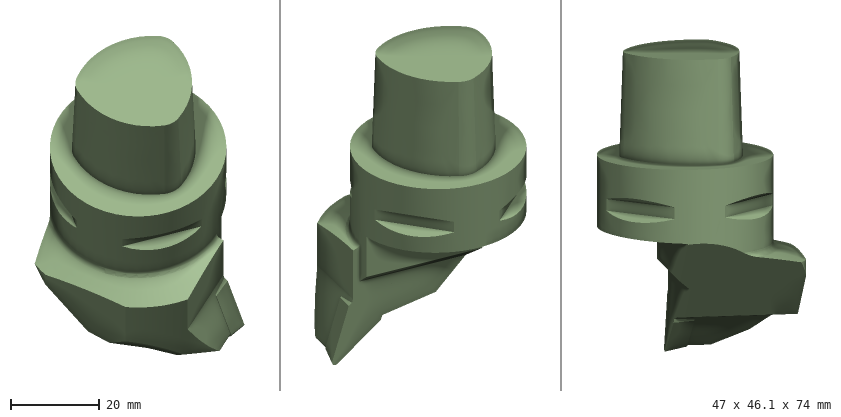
import cadquery as cq
import math

COLLAR_RADIUS = 20.0

SHANK_HEIGHT = 24.0
SHANK_TAPER = 0.8
LOBE_RADIUS = 5.6
LOBE_CENTRE_DISTANCE = 9.4
FLANK_INNER_RADIUS = 13.0

GROOVE_COUNT = 4
GROOVE_FIRST_ANGLE = 45
GROOVE_DEPTH_Z = 10.0
GROOVE_FLOOR_DISTANCE = 17.6
GROOVE_FLOOR_HEIGHT = 2.7
GROOVE_FLARE_ANGLE = 30

HEAD_RADIUS = 28.0
HEAD_RIM_DEPTH = 23.2
SHOULDER_ANGLE = 15
SHOULDER_FILLET = 1.3
HEAD_BACK_Y = -26.05
HEAD_SIDE_X = 21.7
SLOPE_OFFSET = 37.0
HEEL_X = 0.6
HEEL_ANGLE = 10.6

FRONT_STEP_Y = 2.9
STEP_TOP_DEPTH = 27.45
STEP_BOTTOM_DEPTH = 30.0
COLLAR_UNDERSIDE_DEPTH = 17.0
COLLAR_UNDERSIDE_TILT = 2

INSERT_EDGE = 16.6
INSERT_POINT_ANGLE = 35.0
INSERT_THICKNESS = 4.9
INSERT_RELIEF_ANGLE = 5
INSERT_TIP_RADIUS = 0.8
TIP_REACH_X = 27.0
OVERALL_HEIGHT = 74.0
NOSE_DIRECTION = 55.0

NOSE_INSET = 0.6
NOSE_RADIUS = 0.75
RELIEF_START = 35.1
RELIEF_BEND = (47.3, -18.3)
RELIEF_END = (54.2, -10.15)

CLEARANCE = 74.0

HALF_POINT = math.radians(INSERT_POINT_ANGLE / 2)
NOSE_COS = math.cos(math.radians(NOSE_DIRECTION))
NOSE_SIN = math.sin(math.radians(NOSE_DIRECTION))
TIP_Z = SHANK_HEIGHT - OVERALL_HEIGHT


def xz_plane(y):
    """Sketch plane with local axes X and Z, extruding toward -Y."""
    return cq.Workplane("XZ", origin=(0, y, 0))


def polar(radius, angle):
    return (radius * math.cos(math.radians(angle)), radius * math.sin(math.radians(angle)))


def step_along(point, angle, length):
    dx, dy = polar(length, angle)
    return (point[0] + dx, point[1] + dy)


def shank_outline(sketch, offset):
    """Three lobe arcs joined by three tangent flank arcs, moved inward by offset."""
    lobe = LOBE_CENTRE_DISTANCE
    reach = FLANK_INNER_RADIUS - LOBE_RADIUS
    flank_centre = (lobe**2 - reach**2) / (2 * reach - lobe)
    flank_radius = FLANK_INNER_RADIUS + flank_centre
    half_flank = math.asin(lobe * math.sin(math.radians(60)) / (flank_radius - LOBE_RADIUS))
    half_lobe = 60 - math.degrees(half_flank)
    lobe_radius = LOBE_RADIUS - offset

    for index in range(3):
        angle = 90 + 120 * index
        centre = polar(lobe, angle)
        start = step_along(centre, angle - half_lobe, lobe_radius)
        end = step_along(centre, angle + half_lobe, lobe_radius)
        if index == 0:
            first = start
            sketch = sketch.moveTo(*start)
        sketch = sketch.threePointArc(polar(lobe + lobe_radius, angle), end)
        next_start = step_along(polar(lobe, angle + 120), angle + 120 - half_lobe, lobe_radius)
        target = first if index == 2 else next_start
        sketch = sketch.threePointArc(polar(FLANK_INNER_RADIUS - offset, angle + 60), target)
    return sketch.close()


def make_shank():
    base = shank_outline(cq.Workplane("XY"), 0)
    return shank_outline(base.workplane(offset=SHANK_HEIGHT), SHANK_TAPER).loft(ruled=True, combine=True)


def make_groove(angle):
    half_floor = GROOVE_FLOOR_HEIGHT / 2
    outer = COLLAR_RADIUS + 0.75
    half_mouth = half_floor + (outer - GROOVE_FLOOR_DISTANCE) * math.tan(math.radians(GROOVE_FLARE_ANGLE))
    profile = [
        (GROOVE_FLOOR_DISTANCE, -half_floor - GROOVE_DEPTH_Z),
        (outer, -half_mouth - GROOVE_DEPTH_Z),
        (outer, half_mouth - GROOVE_DEPTH_Z),
        (GROOVE_FLOOR_DISTANCE, half_floor - GROOVE_DEPTH_Z),
    ]
    groove = cq.Workplane("XZ").polyline(profile).close().extrude(COLLAR_RADIUS, both=True)
    return groove.rotate((0, 0, 0), (0, 0, 1), angle)


def make_turned_blank():
    """Collar, fillet, conical shoulder and head cylinder as one revolved shape."""
    slope = math.radians(SHOULDER_ANGLE)
    corner_z = -HEAD_RIM_DEPTH + (HEAD_RADIUS - COLLAR_RADIUS) * math.tan(slope)
    tangent = SHOULDER_FILLET * math.tan(math.radians(90 - SHOULDER_ANGLE) / 2)
    centre = (COLLAR_RADIUS + SHOULDER_FILLET, corner_z + tangent)
    fillet_end = (COLLAR_RADIUS + tangent * math.cos(slope), corner_z - tangent * math.sin(slope))
    fillet_middle = step_along(centre, 180 + (90 - SHOULDER_ANGLE) / 2, SHOULDER_FILLET)
    return (
        cq.Workplane("XZ")
        .lineTo(COLLAR_RADIUS, 0)
        .lineTo(COLLAR_RADIUS, corner_z + tangent)
        .threePointArc(fillet_middle, fillet_end)
        .lineTo(HEAD_RADIUS, -HEAD_RIM_DEPTH)
        .lineTo(HEAD_RADIUS, TIP_Z)
        .lineTo(0, TIP_Z)
        .close()
        .revolve(360, (0, 0, 0), (0, 1, 0))
    )


def nose_apex(inset):
    """Sharp corner where the two cutting edges, moved inward by inset, would meet."""
    to_apex = INSERT_TIP_RADIUS / math.sin(HALF_POINT)
    shift = to_apex - inset / math.sin(HALF_POINT)
    centre_x = TIP_REACH_X - INSERT_TIP_RADIUS
    centre_z = TIP_Z + INSERT_TIP_RADIUS
    return (centre_x + shift * NOSE_COS, centre_z - shift * NOSE_SIN)


def head_outline():
    heel = (HEEL_X, -SLOPE_OFFSET - HEEL_X)
    apex_x, apex_z = nose_apex(NOSE_INSET)
    lower_slope = -math.tan(math.radians(NOSE_DIRECTION) - HALF_POINT)
    upper_slope = -math.tan(math.radians(NOSE_DIRECTION) + HALF_POINT)
    heel_slope = -math.tan(math.radians(HEEL_ANGLE))
    throat_x = (apex_z - lower_slope * apex_x - heel[1] + heel_slope * heel[0]) / (heel_slope - lower_slope)
    throat_z = heel[1] + heel_slope * (throat_x - heel[0])
    nose_top_z = apex_z + upper_slope * (HEAD_SIDE_X - apex_x)
    return [
        (-HEAD_RADIUS, 0),
        (-HEAD_RADIUS, HEAD_RADIUS - SLOPE_OFFSET),
        heel,
        (throat_x, throat_z),
        (apex_x, apex_z),
        (HEAD_SIDE_X, nose_top_z),
        (HEAD_SIDE_X, 0),
    ]


def make_head_prism():
    prism = xz_plane(HEAD_RADIUS).polyline(head_outline()).close().extrude(HEAD_RADIUS - HEAD_BACK_Y)
    apex_x, apex_z = nose_apex(NOSE_INSET)
    nose_edge = cq.selectors.NearestToPointSelector((apex_x, (HEAD_RADIUS + HEAD_BACK_Y) / 2, apex_z))
    return prism.edges("|Y").edges(nose_edge).fillet(NOSE_RADIUS)


def make_front_clearance():
    """Space under the collar and in front of the cutting face."""
    drop = math.tan(math.radians(COLLAR_UNDERSIDE_TILT))
    underside_z = -COLLAR_UNDERSIDE_DEPTH + drop * (CLEARANCE - FRONT_STEP_Y)
    profile = [
        (CLEARANCE, underside_z),
        (FRONT_STEP_Y, -COLLAR_UNDERSIDE_DEPTH),
        (FRONT_STEP_Y, -STEP_TOP_DEPTH),
        (0, -STEP_BOTTOM_DEPTH),
        (0, -CLEARANCE),
        (CLEARANCE, -CLEARANCE),
    ]
    return cq.Workplane("YZ").polyline(profile).close().extrude(CLEARANCE, both=True)


def make_shoulder_clearance():
    """Removes the shoulder in front of Y = 0, leaving the collar's own radius."""
    underside = cq.Workplane("XY", origin=(0, 0, -COLLAR_UNDERSIDE_DEPTH))
    block = underside.center(0, CLEARANCE / 2).rect(2 * CLEARANCE, CLEARANCE).extrude(-CLEARANCE)
    return block.cut(underside.circle(COLLAR_RADIUS).extrude(-CLEARANCE))


def make_nose_relief():
    """Two sloping faces behind the nose, stepping down along the nose direction."""
    nose_plane = cq.Plane(origin=(0, 0, 0), xDir=(NOSE_COS, 0, -NOSE_SIN), normal=(NOSE_SIN, 0, NOSE_COS))
    first_run = RELIEF_BEND[0] - RELIEF_START
    first_slope = (RELIEF_BEND[1] - HEAD_BACK_Y) / first_run
    second_slope = (RELIEF_END[1] - RELIEF_BEND[1]) / (RELIEF_END[0] - RELIEF_BEND[0])
    extension = first_run
    points = [
        (RELIEF_START - extension, HEAD_BACK_Y - extension * first_slope),
        RELIEF_BEND,
        (RELIEF_END[0] + extension, RELIEF_END[1] + extension * second_slope),
        (RELIEF_END[0] + extension, HEAD_BACK_Y - extension * first_slope),
    ]
    return cq.Workplane(nose_plane).polyline(points).close().extrude(CLEARANCE, both=True)


def insert_outline(sketch, inset):
    """Rhombus moved inward by inset, with its two acute corners rounded."""
    half_length = INSERT_EDGE * math.cos(HALF_POINT) - inset / math.sin(HALF_POINT)
    half_width = half_length * math.tan(HALF_POINT)
    sharp = INSERT_TIP_RADIUS / math.sin(HALF_POINT)
    round_end = half_length - sharp + INSERT_TIP_RADIUS
    tangent_x = half_length - sharp + INSERT_TIP_RADIUS * math.sin(HALF_POINT)
    tangent_y = INSERT_TIP_RADIUS * math.cos(HALF_POINT)
    return (
        sketch.moveTo(tangent_x, -tangent_y)
        .threePointArc((round_end, 0), (tangent_x, tangent_y))
        .lineTo(0, half_width)
        .lineTo(-tangent_x, tangent_y)
        .threePointArc((-round_end, 0), (-tangent_x, -tangent_y))
        .lineTo(0, -half_width)
        .close()
    )


def make_insert():
    apex_x, apex_z = nose_apex(0)
    half_length = INSERT_EDGE * math.cos(HALF_POINT)
    centre = (apex_x - half_length * NOSE_COS, 0, apex_z + half_length * NOSE_SIN)
    upper_face = cq.Plane(origin=centre, xDir=(NOSE_COS, 0, -NOSE_SIN), normal=(0, -1, 0))
    relief = INSERT_THICKNESS * math.tan(math.radians(INSERT_RELIEF_ANGLE))
    upper = insert_outline(cq.Workplane(upper_face), 0)
    return insert_outline(upper.workplane(offset=INSERT_THICKNESS), relief).loft(ruled=True, combine=True)


def make_holder(insert):
    holder = make_turned_blank().intersect(make_head_prism())
    holder = holder.cut(make_front_clearance()).cut(make_shoulder_clearance()).cut(make_nose_relief())
    for index in range(GROOVE_COUNT):
        holder = holder.cut(make_groove(GROOVE_FIRST_ANGLE + index * 360 / GROOVE_COUNT))
    return holder.union(make_shank()).cut(insert)


cutting_insert = make_insert()
holder = make_holder(cutting_insert)

result = cq.Compound.makeCompound([holder.val(), cutting_insert.val()])